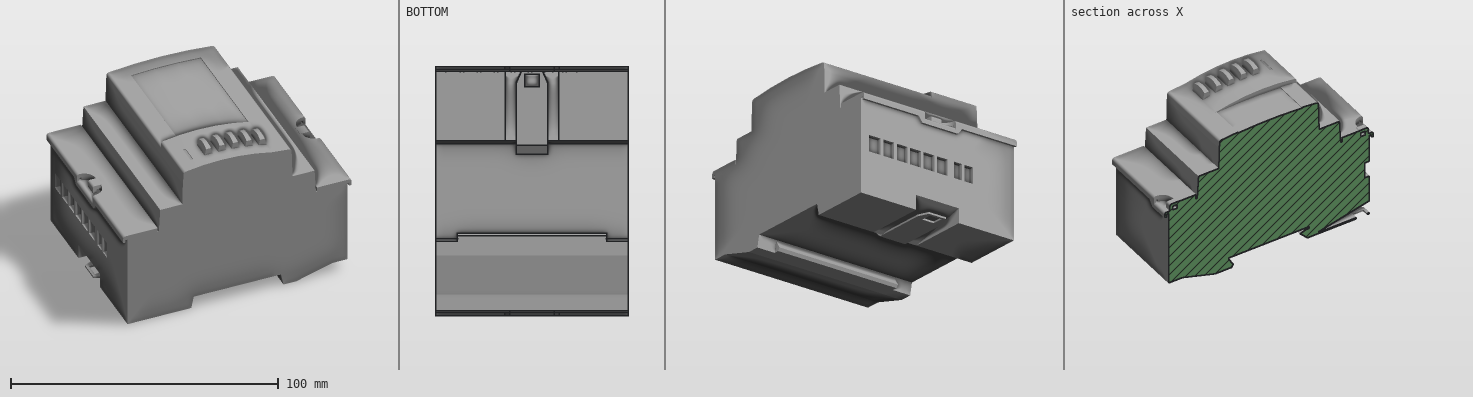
import cadquery as cq
import math

width = 72.0
half_width = width / 2
height = 68.2
body_y = 44.7
lid_y = 46.5
rail_y = 17.8
rail_depth = 4.9
rail_mouth_y = 18.8
rear_base_z = 4.2
rear_ramp_top_y = 38.6
rear_ramp_foot_y = 24.0

lid_z = 40.7
lid_inner_y = 32.5
groove_y = 32.0
groove_z = 38.9
skirt_y = 45.5
skirt_z = 37.85
skirt_gap_z = 39.0
edge_radius = 1.0
shoulder_z = 48.8
shoulder_y = 31.4
neck_foot_y = 22.4
neck_y = 22.2
neck_z = 57.9
neck_draft = 0.08

crown_z = 62.8
crown_radius = 195.3
panel_x = 14.8
panel_z = 64.7
panel_peak_y = -6.6
panel_radius = 89.3
panel_tail_y = 15.8
display_left_x = -30.0
display_front_y = -14.6
display_rear_y = 13.8
display_depth = 0.4

key_x = 23.6
key_length = 7.2
key_count = 5
key_pitch = 5.5
key_first_y = -9.5
key_base = 3.2
key_top = 1.7
key_height = height - panel_z
key_crown = 0.8
key_root = 0.9
slit_y = -16.3
slit_width = 1.1
slit_depth = 0.3

opening_z = 17.9
opening_height = 6.7
opening_depth = 2.0
wide_opening = 5.0
wide_count = 5
opening_pitch = 6.3
wide_start_x = -25.5
first_opening = (-32.2, 5.4)
narrow_openings = [(7.8, 3.6), (12.7, 4.0)]

tab_top_half = 10.2
tab_bottom_half = 8.4
tab_z = 35.4
recess_half = 7.3
recess_y = 41.0
recess_radius = 4.6
shelf_z = 36.55
post_front_y = 44.2
post_rear_y = 40.2
post_base = 5.2
post_top = 4.5
post_proud = 0.1
post_edge = 0.8
undercut_y = 42.8
undercut_z = 39.3

clip_notch_half = 10.0
clip_notch_z = 6.0
clip_half = 5.95
clip_nose_half = 4.0
clip_nose_length = 4.5
clip_thickness = 0.7
loop_half = 2.7
loop_bar = 1.1
loop_length = 4.65

hook_z = 4.4
clip_hook_top_y = 16.4
clip_hook_foot_y = 17.2
clip_hook_tip_y = 13.7
clip_hook_tip_z = 3.35
fixed_hook_half = 27.9
fixed_hook_foot_y = 16.65
fixed_hook_tip_y = 15.8
fixed_hook_tip_z = 1.2


def extrude_profile(outline, left, right):
    """Extrude a closed (Y, Z) outline from X = left to X = right."""
    return outline.close().extrude(right - left).translate((left, 0, 0))


def box(x0, x1, y0, y1, z0, z1):
    """Box given by its limits."""
    return cq.Workplane("XY").box(x1 - x0, y1 - y0, z1 - z0, centered=False).translate((x0, y0, z0))


def round_edge(solid, y, z):
    """Round the edge along X whose middle lies at (y, z)."""
    reach = 0.1
    edge = cq.selectors.BoxSelector(
        (-half_width, y - reach, z - reach), (half_width, y + reach, z + reach)
    )
    return solid.edges(edge).fillet(edge_radius)


def neck_face(z):
    """Half depth of the drafted neck at height z."""
    return neck_y - neck_draft * (z - neck_z)


def arc_height(y, peak_y, peak_z, radius):
    """Height at y of an arc whose highest point is (peak_y, peak_z)."""
    return peak_z - radius + math.sqrt(radius**2 - (y - peak_y) ** 2)


def make_housing():
    crown_edge_z = arc_height(neck_y, 0, crown_z, crown_radius)
    crown_edge_y = neck_face(crown_edge_z)
    steps = [
        (neck_y, neck_z),
        (neck_foot_y, shoulder_z),
        (shoulder_y, shoulder_z),
        (groove_y, groove_z),
        (lid_inner_y, groove_z),
        (lid_inner_y, lid_z),
        (lid_y, lid_z),
        (lid_y, skirt_z),
        (skirt_y, skirt_z),
        (skirt_y, skirt_gap_z),
        (body_y, skirt_gap_z),
    ]
    underside = [
        (body_y, rear_base_z),
        (rear_ramp_top_y, rear_base_z),
        (rear_ramp_foot_y, 0),
        (rail_mouth_y, 0),
        (rail_y, rail_depth),
        (-rail_y, rail_depth),
        (-rail_mouth_y, 0),
        (-body_y, 0),
    ]
    outline = cq.Workplane("YZ").moveTo(-crown_edge_y, crown_edge_z)
    outline = outline.threePointArc((0, crown_z), (crown_edge_y, crown_edge_z))
    for y, z in steps + underside:
        outline = outline.lineTo(y, z)
    for y, z in reversed(steps):
        outline = outline.lineTo(-y, z)
    housing = extrude_profile(outline, -half_width, half_width)
    for y, z in ((crown_edge_y, crown_edge_z), (lid_y, lid_z)):
        housing = round_edge(housing, y, z)
        housing = round_edge(housing, -y, z)
    return housing


def make_key_panel():
    def top(y):
        return arc_height(y, panel_peak_y, panel_z, panel_radius)

    front_z = top(-neck_y)
    front_y = -neck_face(front_z)
    outline = cq.Workplane("YZ").moveTo(-neck_y, neck_z).lineTo(front_y, front_z)
    outline = outline.threePointArc((panel_peak_y, panel_z), (panel_tail_y, top(panel_tail_y)))
    outline = outline.lineTo(panel_tail_y, neck_z)
    panel = extrude_profile(outline, panel_x, half_width)
    panel = round_edge(panel, front_y, front_z)
    slit = box(
        key_x,
        key_x + key_length,
        slit_y - slit_width / 2,
        slit_y + slit_width / 2,
        top(slit_y) - slit_depth,
        height,
    )
    panel = panel.cut(slit)
    for index in range(key_count):
        y = key_first_y + index * key_pitch
        panel = panel.union(make_key(y, top(y)))
    return panel


def make_key(y, surface_z):
    """Drafted key with an arched top, standing on the panel."""
    peak = surface_z + key_height
    root = surface_z - key_root
    side_slope = (key_base - key_top) / 2 / key_height
    root_half = key_base / 2 + side_slope * key_root
    draft = (
        cq.Workplane("YZ")
        .moveTo(y - root_half, root)
        .lineTo(y + root_half, root)
        .lineTo(y + key_top / 2, peak)
        .lineTo(y - key_top / 2, peak)
    )
    arch = (
        cq.Workplane("XZ")
        .moveTo(key_x, root)
        .lineTo(key_x, peak - key_crown)
        .threePointArc((key_x + key_length / 2, peak), (key_x + key_length, peak - key_crown))
        .lineTo(key_x + key_length, root)
        .close()
        .extrude(key_base, both=True)
        .translate((0, y, 0))
    )
    return extrude_profile(draft, key_x, key_x + key_length).intersect(arch)


def make_display_recess():
    middle_y = (display_front_y + display_rear_y) / 2
    floor_z = crown_z - display_depth
    end_z = arc_height(display_front_y, middle_y, floor_z, crown_radius)
    outline = (
        cq.Workplane("YZ")
        .moveTo(display_front_y, end_z)
        .threePointArc((middle_y, floor_z), (display_rear_y, end_z))
        .lineTo(display_rear_y, panel_z)
        .lineTo(display_front_y, panel_z)
    )
    return extrude_profile(outline, display_left_x, panel_x)


def make_openings():
    openings = [first_opening]
    openings += [(wide_start_x + index * opening_pitch, wide_opening) for index in range(wide_count)]
    openings += narrow_openings
    cutter = cq.Workplane("XY")
    for x, length in openings:
        cutter = cutter.union(
            box(x, x + length, -body_y, -body_y + opening_depth, opening_z, opening_z + opening_height)
        )
    return cutter


def make_lip_corner():
    """Waste outside the rounded front lip of the finger recess."""
    arc_inset = edge_radius * (1 - math.sqrt(0.5))
    outline = (
        cq.Workplane("YZ")
        .moveTo(-lid_y, skirt_z - edge_radius)
        .threePointArc((-lid_y + arc_inset, skirt_z - arc_inset), (-lid_y + edge_radius, skirt_z))
        .lineTo(-lid_y, skirt_z)
    )
    return extrude_profile(outline, -recess_half, recess_half)


def add_latch(housing):
    """Front lid latch: finger recess, hanging tab and latch post."""
    recess = (
        box(-recess_half, recess_half, -lid_y - recess_radius, -recess_y, skirt_z, lid_z)
        .edges("|Z and >Y")
        .fillet(recess_radius)
    )
    tab = (
        cq.Workplane("XZ", origin=(0, -skirt_y, 0))
        .moveTo(-tab_top_half, skirt_z)
        .lineTo(-tab_bottom_half, tab_z)
        .lineTo(tab_bottom_half, tab_z)
        .lineTo(tab_top_half, skirt_z)
        .close()
        .extrude(lid_y - skirt_y)
    )
    shelf = box(-tab_bottom_half, tab_bottom_half, -skirt_y, -body_y, shelf_z, skirt_z)
    post_z = lid_z + post_proud
    post = (
        cq.Workplane("XZ", origin=(0, -post_rear_y, 0))
        .moveTo(-post_base / 2, skirt_z)
        .lineTo(post_base / 2, skirt_z)
        .lineTo(post_top / 2, post_z)
        .lineTo(-post_top / 2, post_z)
        .close()
        .extrude(post_front_y - post_rear_y)
        .edges(">Z and <Y")
        .fillet(post_edge)
    )
    undercut = box(-post_base, post_base, -undercut_y, -recess_y, skirt_z, undercut_z)
    lid = housing.cut(recess).union(tab).union(shelf)
    return lid.cut(make_lip_corner()).union(post.cut(undercut))


def make_clip_notch():
    """Sloped notch under the front edge that gives access to the rail clip."""
    outline = (
        cq.Workplane("YZ")
        .moveTo(-body_y, 0)
        .lineTo(-body_y, clip_notch_z)
        .lineTo(-rail_mouth_y, 0)
    )
    return extrude_profile(outline, -clip_notch_half, clip_notch_half)


def make_rail_clip():
    """Sliding clip: pull loop at the front, hook in the rail slot."""
    shoulder = -body_y + clip_nose_length
    plate = (
        cq.Workplane("XY")
        .moveTo(-clip_nose_half, -body_y)
        .lineTo(clip_nose_half, -body_y)
        .lineTo(clip_half, shoulder)
        .lineTo(clip_half, -rail_mouth_y)
        .lineTo(-clip_half, -rail_mouth_y)
        .lineTo(-clip_half, shoulder)
        .close()
        .extrude(clip_thickness)
    )
    loop_y = -body_y + loop_bar
    plate = plate.cut(box(-loop_half, loop_half, loop_y, loop_y + loop_length, 0, clip_thickness))
    hook = (
        cq.Workplane("YZ")
        .moveTo(-rail_mouth_y, 0)
        .lineTo(-clip_hook_foot_y, 0)
        .lineTo(-clip_hook_tip_y, clip_hook_tip_z)
        .lineTo(-clip_hook_top_y, hook_z)
        .lineTo(-rail_mouth_y, hook_z)
    )
    return plate.union(extrude_profile(hook, -clip_half, clip_half))


def make_fixed_hook():
    outline = (
        cq.Workplane("YZ")
        .moveTo(rail_mouth_y, 0)
        .lineTo(fixed_hook_foot_y, 0)
        .lineTo(fixed_hook_tip_y, fixed_hook_tip_z)
        .lineTo(rail_y, hook_z)
        .lineTo(rail_mouth_y, hook_z)
    )
    return extrude_profile(outline, -fixed_hook_half, fixed_hook_half)


housing = make_housing().cut(make_display_recess()).union(make_key_panel())
housing = housing.cut(make_openings()).cut(make_clip_notch())
housing = add_latch(housing)
housing = add_latch(housing.mirror("XZ")).mirror("XZ")
result = housing.union(make_rail_clip()).union(make_fixed_hook())